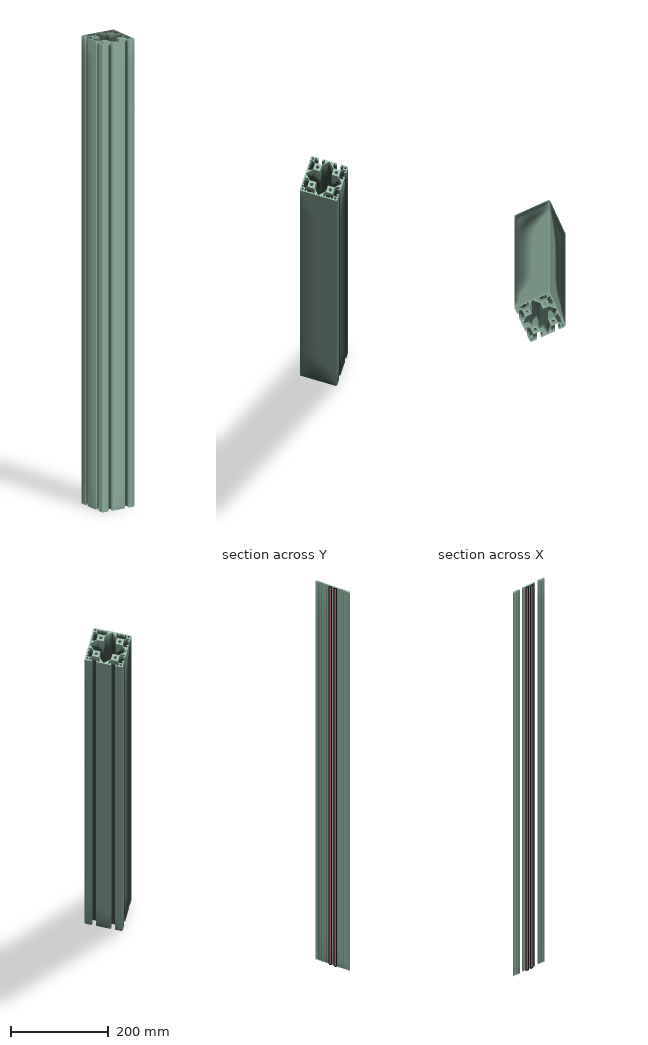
import cadquery as cq

SIDE = 80.0
LENGTH = 1000.0
HALF = SIDE / 2
CORNER_RADIUS = 2.5

SLOT_OFFSET = 20.0
SLOT_OPENING = 9.0
CLOSED_WALL = 2.5

CORE_SIDE = 15.0

CAVITY_WIDTH = 21.0
CAVITY_FLOOR_WIDTH = 14.0
CAVITY_DEPTH = HALF - SLOT_OFFSET - CORE_SIDE / 2
CAVITY_WALL_DEPTH = CAVITY_DEPTH - (CAVITY_WIDTH - CAVITY_FLOOR_WIDTH) / 2
LIP_THICKNESS = 2.0

RIDGE_THICKNESS = 4.5
RIDGE_WIDTH = 14.0

ARM_HALF_WIDTH = SLOT_OFFSET - CORE_SIDE / 2
TIP_WALL = 1.5
ARM_TIP = HALF - TIP_WALL

CORE_BORE = 6.8
CORNER_BORE = 5.0
CORNER_BORE_OFFSET = 35.0

OPEN_SIDE_TURNS = (0, 90)
CLOSED_SIDE_TURNS = (180, 270)


def extrude_outline(points):
    """Closed polygon extruded over the full length."""
    return cq.Workplane("XY").polyline(points).close().extrude(LENGTH)


def turn_about_axis(body, angle):
    return body.rotate((0, 0, 0), (0, 0, 1), angle)


def slot_cutter(wall):
    """Slot centred on the -Y face, leaving a wall of this thickness over its opening."""
    right_side = [
        (SLOT_OPENING / 2, wall - HALF),
        (SLOT_OPENING / 2, RIDGE_THICKNESS - HALF),
        (RIDGE_WIDTH / 2, RIDGE_THICKNESS - HALF),
        (RIDGE_WIDTH / 2, LIP_THICKNESS - HALF),
        (CAVITY_WIDTH / 2, LIP_THICKNESS - HALF),
        (CAVITY_WIDTH / 2, CAVITY_WALL_DEPTH - HALF),
        (CAVITY_FLOOR_WIDTH / 2, CAVITY_DEPTH - HALF),
    ]
    left_side = [(-x, y) for x, y in reversed(right_side)]
    return extrude_outline(right_side + left_side)


def slot_pair(wall):
    """Both slots of the -Y side."""
    slot = slot_cutter(wall)
    left_slot = slot.translate((-SLOT_OFFSET, 0, 0))
    right_slot = slot.translate((SLOT_OFFSET, 0, 0))
    return left_slot.union(right_slot)


def star_void():
    """Cross whose four arms end in right-angled points."""
    shoulder = ARM_TIP - ARM_HALF_WIDTH
    arm = extrude_outline([
        (-ARM_HALF_WIDTH, -shoulder),
        (0, -ARM_TIP),
        (ARM_HALF_WIDTH, -shoulder),
        (ARM_HALF_WIDTH, shoulder),
        (0, ARM_TIP),
        (-ARM_HALF_WIDTH, shoulder),
    ])
    return arm.union(turn_about_axis(arm, 90))


def bores(diameter, offset):
    """Four through bores, one in each quadrant."""
    centres = [(x, y) for x in (-offset, offset) for y in (-offset, offset)]
    return cq.Workplane("XY").pushPoints(centres).circle(diameter / 2).extrude(LENGTH)


result = cq.Workplane("XY").rect(SIDE, SIDE).extrude(LENGTH)
result = result.edges("|Z").fillet(CORNER_RADIUS)

for angle in OPEN_SIDE_TURNS:
    result = result.cut(turn_about_axis(slot_pair(0), angle))
for angle in CLOSED_SIDE_TURNS:
    result = result.cut(turn_about_axis(slot_pair(CLOSED_WALL), angle))

result = result.cut(star_void())
result = result.cut(bores(CORE_BORE, SLOT_OFFSET))
result = result.cut(bores(CORNER_BORE, CORNER_BORE_OFFSET))